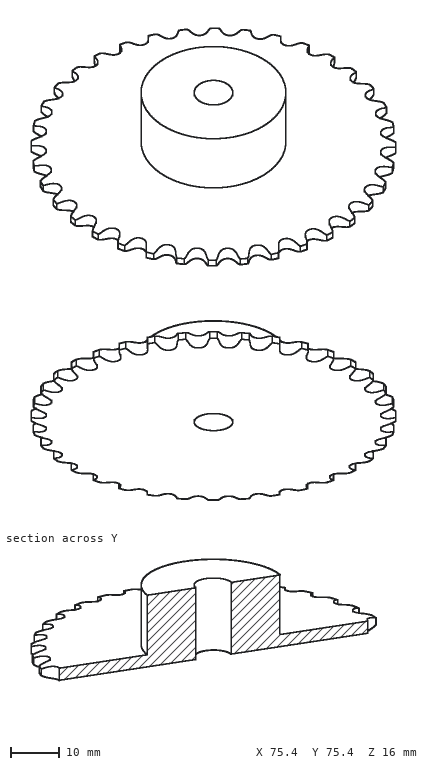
import cadquery as cq
import math

tooth_count = 36
tip_radius = 37.8
plate_thickness = 2.8
total_height = 16.0
hub_diameter = 30.0
bore_diameter = 8.0

pitch_radius = 36.4
seat_radius = 1.65
working_radius = 4.4
flat_length = 0.45
topping_radius = 2.65
root_radius = pitch_radius - seat_radius

seat_sweep = math.radians(55 - 60 / tooth_count)
working_sweep = math.radians(18 - 56 / tooth_count)
topping_sweep = math.radians(35)

face_radius = 34.9
side_relief = 0.64
side_depth = tip_radius - face_radius
side_radius = (side_depth**2 + side_relief**2) / (2 * side_relief)


def make_blank():
    """Solid disc whose rim narrows along an arc on both faces."""
    half_sweep = math.asin(side_depth / side_radius) / 2
    middle_radius = face_radius + side_radius * math.sin(half_sweep)
    middle_relief = side_radius * (1 - math.cos(half_sweep))
    return (
        cq.Workplane("XZ")
        .lineTo(face_radius, 0)
        .threePointArc((middle_radius, middle_relief), (tip_radius, side_relief))
        .lineTo(tip_radius, plate_thickness - side_relief)
        .threePointArc(
            (middle_radius, plate_thickness - middle_relief),
            (face_radius, plate_thickness),
        )
        .lineTo(0, plate_thickness)
        .close()
        .revolve(360, (0, 0, 0), (0, 1, 0))
    )


def arc_point(start, radius, start_angle, sweep):
    """Point reached by an arc; angles are headings from +Y towards +X.

    A positive sweep turns the heading outwards (towards +X), a negative one
    turns it back towards +Y.
    """
    end_angle = start_angle + sweep
    bend = math.copysign(radius, sweep)
    return (
        start[0] + bend * (math.cos(start_angle) - math.cos(end_angle)),
        start[1] + bend * (math.sin(end_angle) - math.sin(start_angle)),
    )


def make_half_gap():
    """Cutter for the +Y half of the tooth gap centred on +X."""
    root = (root_radius, 0)
    seat_middle = arc_point(root, seat_radius, 0, seat_sweep / 2)
    seat_end = arc_point(root, seat_radius, 0, seat_sweep)

    working_middle = arc_point(seat_end, working_radius, seat_sweep, working_sweep / 2)
    working_end = arc_point(seat_end, working_radius, seat_sweep, working_sweep)

    flank_angle = seat_sweep + working_sweep
    flat_end = (
        working_end[0] + flat_length * math.sin(flank_angle),
        working_end[1] + flat_length * math.cos(flank_angle),
    )

    topping_middle = arc_point(flat_end, topping_radius, flank_angle, -topping_sweep / 2)
    topping_end = arc_point(flat_end, topping_radius, flank_angle, -topping_sweep)

    return (
        cq.Workplane("XY")
        .moveTo(*root)
        .threePointArc(seat_middle, seat_end)
        .threePointArc(working_middle, working_end)
        .lineTo(*flat_end)
        .threePointArc(topping_middle, topping_end)
        .lineTo(topping_end[0], 0)
        .close()
        .extrude(plate_thickness)
    )


def cut_teeth(blank):
    half_gap = make_half_gap()
    gap = half_gap.union(half_gap.mirror("XZ"))
    pitch_angle = 360 / tooth_count
    for index in range(tooth_count):
        blank = blank.cut(gap.rotate((0, 0, 0), (0, 0, 1), index * pitch_angle))
    return blank


hub = cq.Workplane("XY").circle(hub_diameter / 2).extrude(total_height)
bore = cq.Workplane("XY").circle(bore_diameter / 2).extrude(total_height)

result = cut_teeth(make_blank()).union(hub).cut(bore)